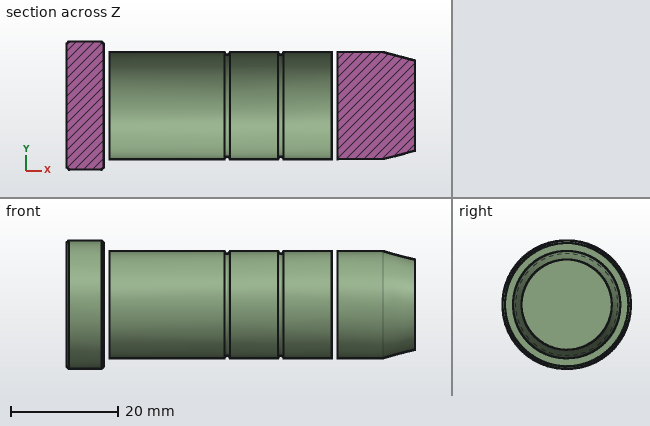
import cadquery as cq

total_length = 65.0
head_diameter = 24.0
head_length = 7.0
head_chamfer = 0.5
shank_diameter = 20.0

tip_length = 6.0
tip_diameter = 16.85

groove_radius = 0.5
first_groove_x = 29.95
groove_spacing = 10.0
groove_count = 3

head_radius = head_diameter / 2
shank_radius = shank_diameter / 2


def make_head():
    """Disc with both rims chamfered."""
    disc = cq.Workplane("YZ").circle(head_radius).extrude(head_length)
    return disc.edges().chamfer(head_chamfer)


def make_shank():
    """Cylinder ending in a tapered tip."""
    return (
        cq.Workplane("XY")
        .lineTo(0, shank_radius)
        .lineTo(total_length - tip_length, shank_radius)
        .lineTo(total_length, tip_diameter / 2)
        .lineTo(total_length, 0)
        .close()
        .revolve(360, (0, 0), (1, 0))
    )


def make_groove(center_x):
    """Ring cutter of circular section centred on the shank surface."""
    return (
        cq.Workplane("XY")
        .center(center_x, shank_radius)
        .circle(groove_radius)
        .revolve(360, (0, -shank_radius), (1, -shank_radius))
    )


relief_groove_x = head_length + groove_radius
groove_positions = [relief_groove_x]
for index in range(groove_count):
    groove_positions.append(first_groove_x + index * groove_spacing)

shank = make_shank()
for groove_x in groove_positions:
    shank = shank.cut(make_groove(groove_x))

result = shank.union(make_head())